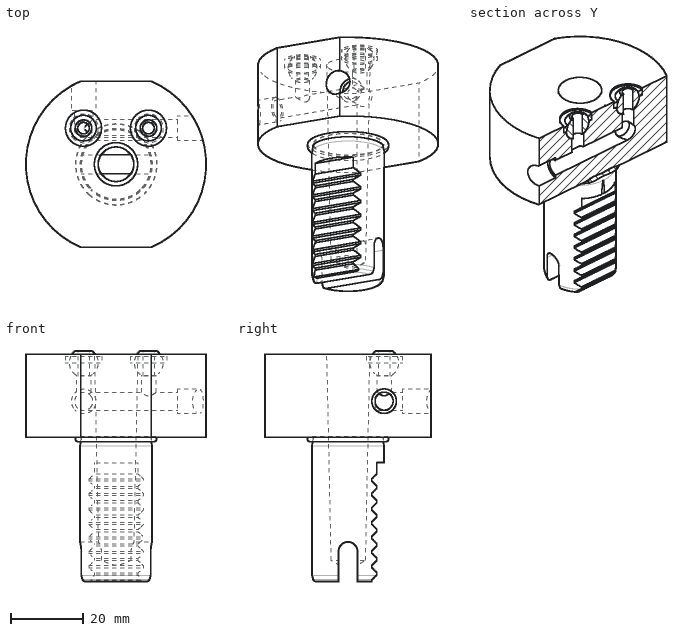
import cadquery as cq
import math

head_radius = 25.0
head_height = 23.0
width_across_flats = 46.0

shank_radius = 10.0
shank_length = 40.0
neck_radius = 9.6
neck_length = 2.3
lead_in_length = 1.8
lead_in_angle = 15.0
tip_fillet = 1.0

tooth_flat_y = 8.0
tooth_flat_start = 7.0
tooth_pitch = 4.0
tooth_gap_count = 8
first_gap_depth = 11.8
gap_depth = 1.4
gap_half_width = 1.7

slot_width = 5.2
slot_depth = 11.0

bore_top_radius = 6.0
bore_end_radius = 4.8
bore_depth = 57.0
drill_point_angle = 118.0

seal_outer_radius = 11.3
seal_section_radius = 0.8
seal_center_z = -0.45

nozzle_x = 9.0
nozzle_y = 10.0
ball_radius = 4.0
ball_protrusion = 0.95
ball_flat_radius = 2.3
ball_bore_radius = 1.6
retainer_radius = 5.0
retainer_recess = 0.5
ball_center_z = head_height + ball_protrusion - math.sqrt(ball_radius**2 - ball_flat_radius**2)

channel_radius = 2.5
mouth_radius = 3.4
mouth_depth = 8.0
channel_z = 10.0
riser_radius = 2.0

nozzle_positions = [(-nozzle_x, nozzle_y), (nozzle_x, nozzle_y)]


def cylinder(radius, bottom, top, x=0.0, y=0.0):
    return cq.Workplane("XY", origin=(x, y, bottom)).circle(radius).extrude(top - bottom)


def make_head():
    flats = cq.Workplane("XY").rect(2 * head_radius, width_across_flats).extrude(head_height)
    return cylinder(head_radius, 0, head_height).intersect(flats)


def make_shank():
    """Turned shank: tapered neck, straight body, conical lead-in and rounded tip."""
    tip_radius = shank_radius - lead_in_length * math.tan(math.radians(lead_in_angle))
    profile = (
        cq.Workplane("XZ")
        .lineTo(neck_radius, 0)
        .lineTo(shank_radius, -neck_length)
        .lineTo(shank_radius, lead_in_length - shank_length)
        .lineTo(tip_radius, -shank_length)
        .lineTo(0, -shank_length)
        .close()
    )
    return profile.revolve(360, (0, 0, 0), (0, 1, 0)).faces("<Z").edges().fillet(tip_fillet)


def make_tooth_cutter():
    """Flat on the +Y side with a row of V gaps cut deeper into it."""
    flat_length = shank_length - tooth_flat_start
    cutter = cq.Workplane("XY").box(
        2 * shank_radius, shank_radius, flat_length, centered=(True, False, False)
    ).translate((0, tooth_flat_y, -shank_length))
    root_half_width = gap_half_width - gap_depth
    for index in range(tooth_gap_count):
        gap_z = -first_gap_depth - index * tooth_pitch
        gap = (
            cq.Workplane("YZ", origin=(-shank_radius, tooth_flat_y, gap_z))
            .moveTo(0, gap_half_width)
            .lineTo(-gap_depth, root_half_width)
            .lineTo(-gap_depth, -root_half_width)
            .lineTo(0, -gap_half_width)
            .close()
            .extrude(2 * shank_radius)
        )
        cutter = cutter.union(gap)
    return cutter


def make_slot_cutter():
    arc_center_z = slot_depth - slot_width / 2 - shank_length
    half_width = slot_width / 2
    return (
        cq.Workplane("YZ", origin=(-shank_radius, 0, 0))
        .moveTo(-half_width, -shank_length)
        .lineTo(-half_width, arc_center_z)
        .threePointArc((0, arc_center_z + half_width), (half_width, arc_center_z))
        .lineTo(half_width, -shank_length)
        .close()
        .extrude(2 * shank_radius)
    )


def make_bore_cutter():
    """Bore that narrows slowly from the top and ends in a drill point."""
    bore_end_z = head_height - bore_depth
    point_length = bore_end_radius / math.tan(math.radians(drill_point_angle / 2))
    return (
        cq.Workplane("XZ")
        .moveTo(0, head_height)
        .lineTo(bore_top_radius, head_height)
        .lineTo(bore_end_radius, bore_end_z)
        .lineTo(0, bore_end_z - point_length)
        .close()
        .revolve(360, (0, 0, 0), (0, 1, 0))
    )


def make_channel(length):
    """Blind channel running along -Z from a wider mouth at the origin."""
    channel = cylinder(channel_radius, -length, 0)
    return channel.union(cylinder(mouth_radius, -mouth_depth, 0))


def make_channel_cutter():
    """Two crossing channels, one from the +Y flat and one from the +X side."""
    flat_y = width_across_flats / 2
    along_y = (
        make_channel(flat_y - nozzle_y + channel_radius)
        .rotate((0, 0, 0), (1, 0, 0), -90)
        .translate((-nozzle_x, flat_y, channel_z))
    )
    along_x = (
        make_channel(head_radius + nozzle_x)
        .rotate((0, 0, 0), (0, 1, 0), 90)
        .translate((head_radius, nozzle_y, channel_z))
    )
    return along_y.union(along_x)


def make_ball_envelope(x, y):
    return cq.Workplane("XY").sphere(ball_radius).translate((x, y, ball_center_z))


def make_nozzle_cutter(x, y):
    """Retainer pocket, spherical ball seat and riser from the channel."""
    pocket = cylinder(retainer_radius, ball_center_z, head_height, x, y)
    riser = cylinder(riser_radius, channel_z, ball_center_z, x, y)
    return pocket.union(make_ball_envelope(x, y)).union(riser)


def make_ball(x, y):
    """Nozzle ball with a flat top and a through bore."""
    top = head_height + ball_protrusion
    bottom = ball_center_z - ball_radius
    ball = make_ball_envelope(x, y).intersect(cylinder(ball_radius, bottom, top, x, y))
    return ball.cut(cylinder(ball_bore_radius, bottom, top, x, y))


def make_retainer(x, y):
    """Ring that holds the ball down by its upper half."""
    ring = cylinder(retainer_radius, ball_center_z, head_height - retainer_recess, x, y)
    return ring.cut(make_ball_envelope(x, y))


def make_seal():
    center_radius = seal_outer_radius - seal_section_radius
    return (
        cq.Workplane("XZ")
        .center(center_radius, seal_center_z)
        .circle(seal_section_radius)
        .revolve(360, (-center_radius, 0, 0), (-center_radius, 1, 0))
    )


def make_holder():
    holder = make_head().union(make_shank())
    holder = holder.cut(make_tooth_cutter()).cut(make_slot_cutter())
    holder = holder.cut(make_bore_cutter()).cut(make_channel_cutter())
    for x, y in nozzle_positions:
        holder = holder.cut(make_nozzle_cutter(x, y))
    return holder.cut(make_seal())


holder = make_holder()
seal = make_seal()
balls = [make_ball(x, y) for x, y in nozzle_positions]
retainers = [make_retainer(x, y) for x, y in nozzle_positions]

bodies = [holder, seal, *balls, *retainers]
result = cq.Compound.makeCompound([body.solids().val() for body in bodies])